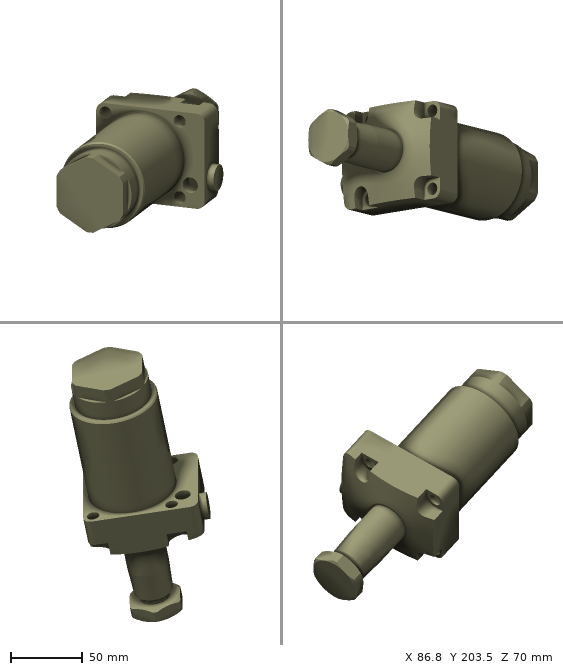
import cadquery as cq
import math


flange_left = 35.0
flange_right = 46.8
flange_half_height = 35.0
flange_corner_radius = 6.0
cone_top_y = 36.2
cone_top_radius = 16.5
cone_angle = 15.0

hole_offset = 28.0
hole_diameter = 9.0
seat_radius = 7.25
seat_floor_y = 19.7

port_x = 36.0
port_z = -18.1
port_diameter = 11.4
port_depth = 12.0

tube_radius = 31.5
tube_length = 77.2
tube_chamfer = 1.0
tube_root_fillet = 0.5
cap_radius = 27.5
cap_end_y = -102.0
cap_hex_width = 50.0
cap_hex_length = 10.2

rod_radius = 15.0
rod_bottom_y = 0.0
taper_start_y = 64.5
taper_end_y = 85.8
taper_end_radius = 14.0
shoulder_y = 88.8
relief_end_y = 90.1
relief_radius = 10.8
stud_radius = 11.0

nut_end_y = 101.5
nut_thickness = 10.2
nut_width = 36.0
nut_outer_radius = 20.0
nut_face_radius = 18.0
nut_chamfer_length = 1.15

plug_radius = 9.5
plug_length = 5.0
plug_y = 13.9
plug_z = -14.8


def along_y(radius, y_start, y_end, x=0.0, z=0.0):
    """Cylinder parallel to Y between two Y positions."""
    axis_start = cq.Vector(x, y_start, z)
    return cq.Workplane(cq.Solid.makeCylinder(radius, y_end - y_start, axis_start, cq.Vector(0, 1, 0)))


def block(x_start, x_end, y_start, y_end, z_start, z_end):
    """Box given by its limits on the three axes."""
    size = (x_end - x_start, y_end - y_start, z_end - z_start)
    return cq.Workplane("XY").box(*size, centered=False).translate((x_start, y_start, z_start))


def turned(profile):
    """Solid turned about Y from a list of (radius, y) points."""
    return cq.Workplane("XY").polyline(profile).close().revolve(360, (0, 0), (0, 1))


def hexagon(width, y_start, y_end):
    """Hexagonal prism along Y with two flats facing -X and +X."""
    corner_diameter = width / math.cos(math.radians(30))
    prism = cq.Workplane("XY").polygon(6, corner_diameter).extrude(y_end - y_start)
    return prism.rotate((0, 0, 0), (0, 0, 1), 30).rotate((0, 0, 0), (1, 0, 0), -90).translate((0, y_start, 0))


def make_flange():
    """Rounded block whose +Y end is turned to a shallow cone."""
    blank = block(
        -flange_left, flange_right, 0, cone_top_y, -flange_half_height, flange_half_height
    ).edges("|Y").fillet(flange_corner_radius)
    reach = 2 * flange_right
    rim_y = cone_top_y - (reach - cone_top_radius) * math.tan(math.radians(cone_angle))
    envelope = turned([
        (0, rim_y - cone_top_y),
        (reach, rim_y - cone_top_y),
        (reach, rim_y),
        (cone_top_radius, cone_top_y),
        (0, cone_top_y),
    ])
    return blank.intersect(envelope)


def make_screw_seat(side_x, side_z):
    """Clearance above one mounting hole, open to +-Z and, on the -X side, to -X as well."""
    x = side_x * hole_offset
    z = side_z * hole_offset
    outer_z = side_z * (flange_half_height + 1)
    z_limits = sorted((z, outer_z))
    seat = along_y(seat_radius, seat_floor_y, cone_top_y, x, z)
    seat = seat.union(block(x - seat_radius, x + seat_radius, seat_floor_y, cone_top_y, *z_limits))
    if side_x < 0:
        corner_z_limits = sorted((z - side_z * seat_radius, outer_z))
        seat = seat.union(block(-flange_left - 1, x, seat_floor_y, cone_top_y, *corner_z_limits))
    return seat


def make_tube():
    """Cylinder tube with a chamfered lower rim and a small concave fillet at the flange."""
    fillet_reach = tube_root_fillet * (1 - math.sqrt(0.5))
    return (
        cq.Workplane("XY")
        .moveTo(0, -tube_length)
        .lineTo(tube_radius - tube_chamfer, -tube_length)
        .lineTo(tube_radius, -tube_length + tube_chamfer)
        .lineTo(tube_radius, -tube_root_fillet)
        .threePointArc(
            (tube_radius + fillet_reach, -fillet_reach),
            (tube_radius + tube_root_fillet, 0),
        )
        .lineTo(0, 0)
        .close()
        .revolve(360, (0, 0), (0, 1))
    )


def make_cap():
    """Round end cap with a hexagon cut into its last stretch."""
    hex_start_y = cap_end_y + cap_hex_length
    round_part = along_y(cap_radius, hex_start_y, -tube_length)
    hex_part = along_y(cap_radius, cap_end_y, hex_start_y).intersect(
        hexagon(cap_hex_width, cap_end_y, hex_start_y)
    )
    return round_part.union(hex_part)


def make_housing():
    housing = make_flange()
    for side_x in (-1, 1):
        for side_z in (-1, 1):
            housing = housing.cut(make_screw_seat(side_x, side_z))
            housing = housing.cut(
                along_y(hole_diameter / 2, 0, cone_top_y, side_x * hole_offset, side_z * hole_offset)
            )
    housing = housing.cut(along_y(port_diameter / 2, 0, port_depth, port_x, port_z))
    housing = housing.union(make_tube()).union(make_cap())
    return housing.cut(along_y(rod_radius, rod_bottom_y, cone_top_y))


def make_rod():
    """Piston rod with a tapered end, a chamfered shoulder, a thinner neck and the stud that carries the nut."""
    return turned([
        (0, rod_bottom_y),
        (rod_radius, rod_bottom_y),
        (rod_radius, taper_start_y),
        (taper_end_radius, taper_end_y),
        (relief_radius, shoulder_y),
        (relief_radius, relief_end_y),
        (stud_radius, relief_end_y),
        (stud_radius, nut_end_y),
        (0, nut_end_y),
    ])


def make_nut():
    """Hexagon nut with turned corners, chamfered on both faces."""
    nut_start_y = nut_end_y - nut_thickness
    envelope = turned([
        (stud_radius, nut_start_y),
        (nut_face_radius, nut_start_y),
        (nut_outer_radius, nut_start_y + nut_chamfer_length),
        (nut_outer_radius, nut_end_y - nut_chamfer_length),
        (nut_face_radius, nut_end_y),
        (stud_radius, nut_end_y),
    ])
    return hexagon(nut_width, nut_start_y, nut_end_y).intersect(envelope)


def make_side_plug():
    """Round plug standing on the +X side of the flange."""
    axis_start = cq.Vector(flange_right, plug_y, plug_z)
    return cq.Workplane(cq.Solid.makeCylinder(plug_radius, plug_length, axis_start, cq.Vector(1, 0, 0)))


housing = make_housing()
rod = make_rod()
nut = make_nut()
side_plug = make_side_plug()

result = cq.Compound.makeCompound([housing.val(), rod.val(), nut.val(), side_plug.val()])